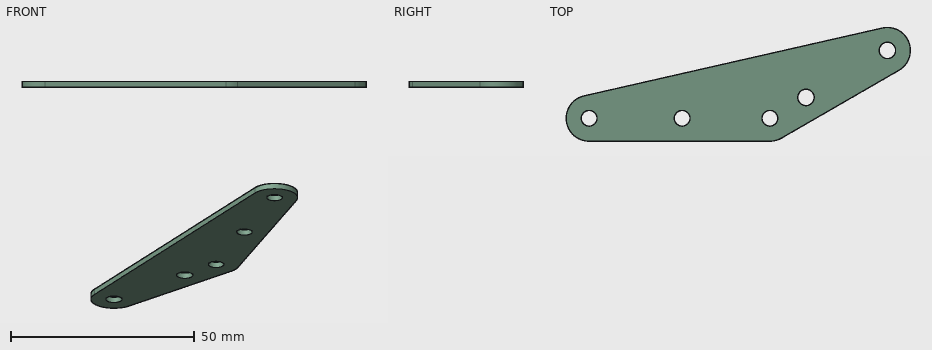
import cadquery as cq
import math

length = 93.9
width = 31.1
thickness = 1.6
end_radius = 6.3
base_hole_diameter = 4.2
arm_hole_diameter = 4.4
middle_hole_x = 25.4
arm_angle = math.radians(30)
arm_hole_distance = 11.4

left_end = (0.0, 0.0)
middle = (middle_hole_x, 0.0)
tip = (length - 2 * end_radius, width - 2 * end_radius)
bend = (tip[0] - tip[1] / math.tan(arm_angle), 0.0)
arm = (
    bend[0] + arm_hole_distance * math.cos(arm_angle),
    arm_hole_distance * math.sin(arm_angle),
)


def on_rim(center, angle):
    """Point on the rounded corner around center, in the given direction."""
    return (
        center[0] + end_radius * math.cos(angle),
        center[1] + end_radius * math.sin(angle),
    )


def plate():
    """Plate whose straight edges are tangent to the three rounded corners."""
    bottom_normal = -math.pi / 2
    arm_normal = arm_angle - math.pi / 2
    top_normal = math.atan2(tip[1], tip[0]) + math.pi / 2
    bend_middle = (bottom_normal + arm_normal) / 2
    tip_middle = (arm_normal + top_normal) / 2
    left_middle = (top_normal + bottom_normal) / 2 + math.pi
    return (
        cq.Workplane("XY")
        .moveTo(*on_rim(left_end, bottom_normal))
        .lineTo(*on_rim(bend, bottom_normal))
        .threePointArc(on_rim(bend, bend_middle), on_rim(bend, arm_normal))
        .lineTo(*on_rim(tip, arm_normal))
        .threePointArc(on_rim(tip, tip_middle), on_rim(tip, top_normal))
        .lineTo(*on_rim(left_end, top_normal))
        .threePointArc(on_rim(left_end, left_middle), on_rim(left_end, bottom_normal))
        .close()
        .extrude(thickness)
    )


def holes(centers, diameter):
    """Cylinders that cut round holes through the plate."""
    return cq.Workplane("XY").pushPoints(centers).circle(diameter / 2).extrude(thickness)


base_holes = holes([left_end, middle, bend], base_hole_diameter)
arm_holes = holes([arm, tip], arm_hole_diameter)
result = plate().cut(base_holes).cut(arm_holes)